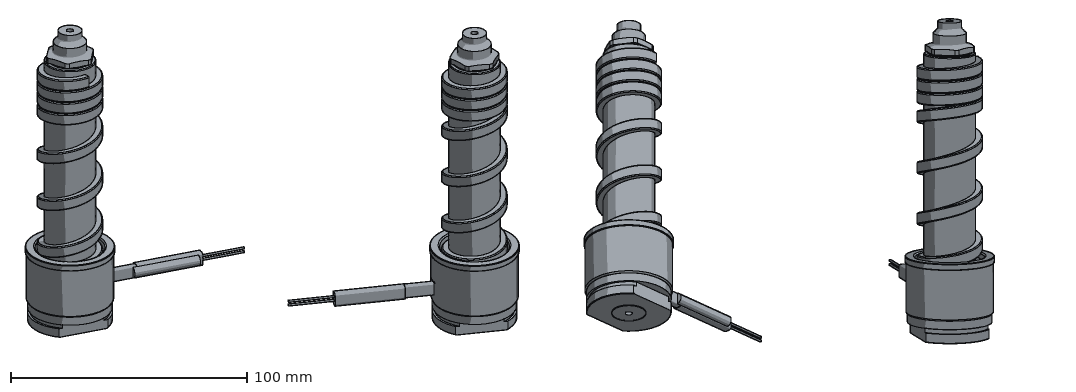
import cadquery as cq
import math

total_height = 136.2
bore_dia = 3.0

boss_dia = 14.5
boss_height = 0.4
base_dia = 36.0
base_top = 4.5
base_chamfer = 0.3
groove_dia = 34.0
groove_top = 6.5
flat_width = 28.0

collar_dia = 36.0
collar_top = 10.2
barrel_dia = 37.2
barrel_chamfer = 0.7
flange_dia = 38.0
flange_bottom = 32.2
flange_top = 35.0
flange_chamfer = 0.3
seat_dia = 29.6
seat_floor = 26.0
seat_chamfer = 0.6
cable_flat_y = 18.1
cable_flat_top = 21.0

tube_dia = 22.0
tube_top = 122.4
tube_chamfer = 0.4
nut_seat_chamfer = 0.35
nut_bottom = 123.1
nut_rim = 125.45
nut_across_flats = 19.0
nut_corner_dia = 21.0
nut_cone_angle = 16.0
neck_dia = 14.2
neck_fillet = 0.7
tip_dia = 10.2
tip_bottom = 133.45
tip_fillet = 1.0
shoulder_angle = 45.0

coil_outer_dia = 27.8
coil_bite = 0.2
wire_height = 5.0
wire_chamfer = 0.45
closed_pitch = 5.33
open_pitch = 22.0
coil_end_angle = 12.0
coil_end_z = 117.3
top_closed_sweep = 1148.0
bend_sweep = 140.0
open_sweep = 925.0
bottom_closed_sweep = 360.0
curve_step = 10.0

cable_z = 17.2
cable_end_y = 81.0
cord_x = -1.15
cord_width = 3.3
cord_height = 5.6
cord_fillet = 0.7
cord_embed = 1.0
sleeve_x = -1.5
sleeve_width = 4.2
sleeve_height = 6.1
sleeve_fillet = 1.1
sleeve_start_y = 30.8
sleeve_end_y = 61.2
tube_sleeve_x = 0.1
tube_sleeve_dia = 5.0
tube_sleeve_start_y = 28.9
tube_sleeve_end_y = 59.2
lead_x = -1.3
lead_dia = 1.0
lead_spacing = 1.75


def cylinder(diameter, bottom, top):
    return cq.Workplane("XY").workplane(offset=bottom).circle(diameter / 2).extrude(top - bottom)


def make_base():
    disc = cylinder(base_dia, boss_height, base_top).faces("<Z").chamfer(base_chamfer)
    disc = disc.union(cylinder(groove_dia, base_top, groove_top))
    flats = cq.Workplane("XY").box(flat_width, base_dia, groove_top, centered=(True, True, False))
    return disc.intersect(flats).union(cylinder(boss_dia, 0, base_top))


def make_housing():
    collar = cylinder(collar_dia, groove_top, collar_top)
    barrel = cylinder(barrel_dia, collar_top, flange_bottom).faces("<Z").chamfer(barrel_chamfer)
    cut_length = barrel_dia / 2
    cable_flat = cq.Workplane("XY").box(
        barrel_dia, cut_length, cable_flat_top, centered=(True, False, False)
    )
    barrel = barrel.cut(cable_flat.translate((0, cable_flat_y, 0)))
    flange = cylinder(flange_dia, flange_bottom, flange_top).edges().chamfer(flange_chamfer)
    housing = collar.union(barrel).union(flange)
    seat = cylinder(seat_dia, seat_floor, flange_top)
    seat_rim = (
        cq.Workplane("XY", origin=(0, 0, flange_top))
        .circle(seat_dia / 2 + seat_chamfer)
        .extrude(-seat_chamfer, taper=45)
    )
    return housing.cut(seat).cut(seat_rim)


def add_concave_fillet(outline, wall_r, wall_z, radius, slope):
    """Arc joining a cone of the given slope (degrees) to the vertical wall above it.

    The arc meets the wall at height wall_z; the outline arrives along the cone.
    """
    vertical = 90
    points = []
    for angle in (slope, (slope + vertical) / 2):
        lean = math.radians(angle)
        points.append((wall_r + radius * (1 - math.sin(lean)), wall_z - radius * math.cos(lean)))
    cone_end, middle = points
    return outline.lineTo(*cone_end).threePointArc(middle, (wall_r, wall_z))


def make_nut_and_nozzle():
    corner_r = nut_corner_dia / 2
    neck_r = neck_dia / 2
    tip_r = tip_dia / 2
    nut_slope = math.radians(nut_cone_angle)
    nut_fillet_run = neck_fillet * (1 - math.sin(nut_slope))
    nut_cone_rise = (corner_r - neck_r - nut_fillet_run) * math.tan(nut_slope)
    neck_bottom = nut_rim + nut_cone_rise + neck_fillet * math.cos(nut_slope)

    slope = math.radians(shoulder_angle)
    shoulder_run = neck_r - tip_r - tip_fillet * (1 - math.sin(slope))
    neck_top = tip_bottom - tip_fillet * math.cos(slope) - shoulder_run * math.tan(slope)

    outline = cq.Workplane("XZ").moveTo(0, nut_bottom).lineTo(corner_r, nut_bottom)
    outline = outline.lineTo(corner_r, nut_rim)
    outline = add_concave_fillet(outline, neck_r, neck_bottom, neck_fillet, nut_cone_angle)
    outline = outline.lineTo(neck_r, neck_top)
    outline = add_concave_fillet(outline, tip_r, tip_bottom, tip_fillet, shoulder_angle)
    outline = outline.lineTo(tip_r, total_height).lineTo(0, total_height).close()
    turned = outline.revolve(360, (0, 0, 0), (0, 1, 0))

    corner_distance = nut_across_flats / math.cos(math.pi / 6)
    hexagon = (
        cq.Workplane("XY", origin=(0, 0, nut_bottom))
        .transformed(rotate=(0, 0, 90))
        .polygon(6, corner_distance)
        .extrude(total_height - nut_bottom)
    )
    return turned.intersect(hexagon)


def make_stem():
    tube = cylinder(tube_dia, groove_top, tube_top).faces(">Z").chamfer(tube_chamfer)
    nut_seat = cylinder(nut_across_flats, tube_top, nut_bottom).faces("<Z").chamfer(nut_seat_chamfer)
    return tube.union(nut_seat).union(make_nut_and_nozzle())


def wire_section():
    """Corners of the wire section as (radius, height from the wire's middle)."""
    inner_r = tube_dia / 2 - coil_bite
    outer_r = coil_outer_dia / 2
    half = wire_height / 2
    return [
        (inner_r, -half),
        (outer_r - wire_chamfer, -half),
        (outer_r, -half + wire_chamfer),
        (outer_r, half - wire_chamfer),
        (outer_r - wire_chamfer, half),
        (inner_r, half),
    ]


def make_even_stretch(sweep_angle, pitch, end_angle, end_z):
    """Constant-pitch wire whose upper end lies at end_angle and end_z."""
    rise = pitch * sweep_angle / 360
    path = cq.Wire.makeHelix(pitch, rise, coil_outer_dia / 2)
    section = cq.Workplane("XZ").polyline(wire_section()).close()
    wire = section.sweep(cq.Workplane(path), isFrenet=True)
    return wire.rotate((0, 0, 0), (0, 0, 1), end_angle - sweep_angle).translate((0, 0, end_z - rise))


def make_bend(sweep_angle, upper_pitch, lower_pitch, end_angle, end_z):
    """Wire descending from end_angle and end_z while its pitch changes evenly."""
    steps = round(sweep_angle / curve_step)

    def point(corner, turned):
        radius, lift = corner
        angle = math.radians(end_angle - turned)
        mean_pitch = upper_pitch + (lower_pitch - upper_pitch) * turned / sweep_angle / 2
        height = end_z - mean_pitch * turned / 360 + lift
        return cq.Vector(radius * math.cos(angle), radius * math.sin(angle), height)

    corners = wire_section()
    edges = []
    for corner in corners:
        edges.append(cq.Edge.makeSpline([point(corner, i * curve_step) for i in range(steps + 1)]))
    faces = []
    for i, edge in enumerate(edges):
        faces.append(cq.Face.makeRuledSurface(edges[i - 1], edge))
    for turned in (0, sweep_angle):
        rim = cq.Wire.makePolygon([point(corner, turned) for corner in corners], close=True)
        faces.append(cq.Face.makeFromWires(rim))
    return cq.Workplane(cq.Solid.makeSolid(cq.Shell.makeShell(faces)))


def make_coil():
    """Stretches of the coil from its upper end down, each joining the one above."""
    stretches = [
        (top_closed_sweep, closed_pitch, closed_pitch),
        (bend_sweep, closed_pitch, open_pitch),
        (open_sweep, open_pitch, open_pitch),
        (bend_sweep, open_pitch, closed_pitch),
        (bottom_closed_sweep, closed_pitch, closed_pitch),
    ]
    angle = coil_end_angle
    height = coil_end_z
    coil = []
    for sweep_angle, upper_pitch, lower_pitch in stretches:
        if upper_pitch == lower_pitch:
            coil.append(make_even_stretch(sweep_angle, upper_pitch, angle, height))
        else:
            coil.append(make_bend(sweep_angle, upper_pitch, lower_pitch, angle, height))
        angle -= sweep_angle
        height -= (upper_pitch + lower_pitch) / 2 * sweep_angle / 360
    return coil


def along_y(start_y, x, z):
    """Sketch plane whose extrusions run towards +Y."""
    return cq.Workplane(cq.Plane(origin=(x, start_y, z), xDir=(1, 0, 0), normal=(0, 1, 0)))


def make_cable():
    cord_start_y = cable_flat_y - cord_embed
    cord = along_y(cord_start_y, cord_x, cable_z).rect(cord_width, cord_height)
    cord = cord.extrude(sleeve_end_y - cord_start_y).edges("|Y").fillet(cord_fillet)
    sleeve = along_y(sleeve_start_y, sleeve_x, cable_z).rect(sleeve_width, sleeve_height)
    sleeve = sleeve.extrude(sleeve_end_y - sleeve_start_y).edges("|Y").fillet(sleeve_fillet)
    tube_sleeve = along_y(tube_sleeve_start_y, tube_sleeve_x, cable_z).circle(tube_sleeve_dia / 2)
    tube_sleeve = tube_sleeve.extrude(tube_sleeve_end_y - tube_sleeve_start_y)
    cable = cord.union(sleeve).union(tube_sleeve)
    for side in (-1, 1):
        lead = along_y(sleeve_start_y, lead_x, cable_z + side * lead_spacing / 2)
        cable = cable.union(lead.circle(lead_dia / 2).extrude(cable_end_y - sleeve_start_y))
    return cable


result = make_base().union(make_housing()).union(make_stem())
for coil_stretch in make_coil():
    result = result.union(coil_stretch)
result = result.union(make_cable())
result = result.cut(cylinder(bore_dia, 0, total_height))